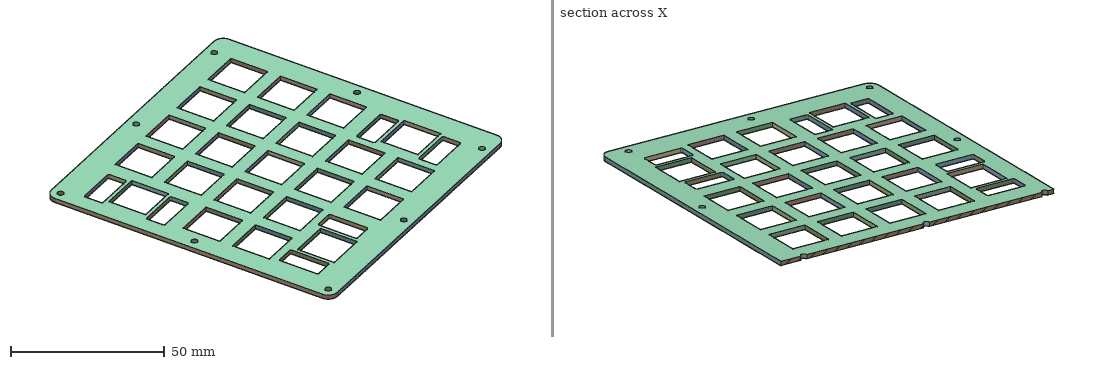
import cadquery as cq

plate_x = 110.0
plate_y = 107.0
thickness = 1.6
corner_radius = 3.5

key_pitch = 19.0
key_size = 14.1
grid_center_y = -0.5

slot_spacing = 23.9
slot_width = 7.0
slot_length = 15.0
slot_offset = 1.4
slot_corner_radius = 0.5

hole_diameter = 2.2
hole_inset = corner_radius
upper_hole_drop = 9.0
middle_hole_y = -3.5

single_keys = [(column, row) for row in (0, 1) for column in (-2, -1, 0, 1, 2)]
single_keys += [(column, -1) for column in (-2, -1, 0, 1)]
single_keys += [(column, 2) for column in (-2, -1, 0)]
single_keys += [(column, -2) for column in (0, 1)]
wide_keys = [(1.5, 2), (-1.5, -2)]
tall_keys = [(2, -1.5)]
tall_key_turn = -90


def key_center(column, row):
    """Position of a key on the plate."""
    return (column * key_pitch, grid_center_y + row * key_pitch)


def through_cutter(size_x, size_y, centers):
    """Rectangular bars as tall as the plate, standing at the given centres."""
    return cq.Workplane("XY").pushPoints(centers).rect(size_x, size_y).extrude(thickness)


def stabilizer_cutter(column, row, turn=0):
    """Pair of rounded slots beside a key, turned about the key centre."""
    centers = [(side * slot_spacing / 2, -slot_offset) for side in (-1, 1)]
    slots = through_cutter(slot_width, slot_length, centers).edges("|Z").fillet(slot_corner_radius)
    x, y = key_center(column, row)
    return slots.rotate((0, 0, 0), (0, 0, 1), turn).translate((x, y, 0))


result = cq.Workplane("XY").rect(plate_x, plate_y).extrude(thickness)
result = result.edges("|Z").fillet(corner_radius)

all_keys = single_keys + wide_keys + tall_keys
result = result.cut(through_cutter(key_size, key_size, [key_center(*key) for key in all_keys]))

for key in wide_keys:
    result = result.cut(stabilizer_cutter(*key))
for key in tall_keys:
    result = result.cut(stabilizer_cutter(*key, turn=tall_key_turn))

hole_x = plate_x / 2 - hole_inset
hole_y = plate_y / 2 - hole_inset
upper_hole_y = plate_y / 2 - upper_hole_drop
hole_centers = [(0, hole_y), (0, -hole_y)]
for x in (-hole_x, hole_x):
    hole_centers += [(x, y) for y in (upper_hole_y, middle_hole_y, -hole_y)]
holes = cq.Workplane("XY").pushPoints(hole_centers).circle(hole_diameter / 2).extrude(thickness)
result = result.cut(holes)